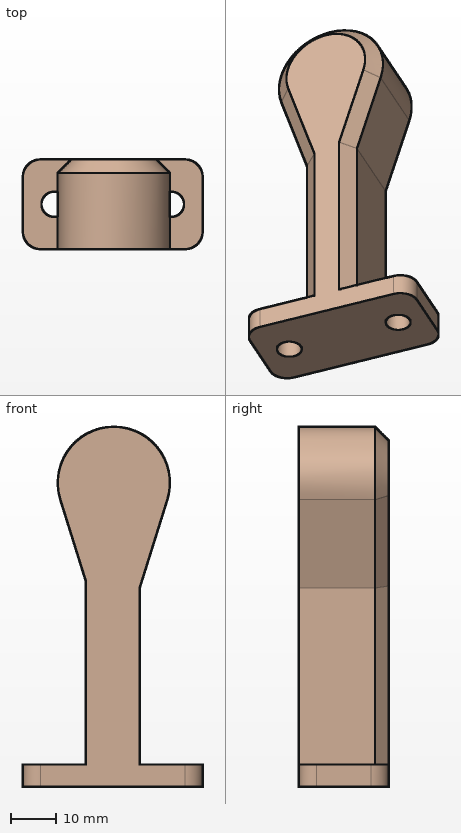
import cadquery as cq
import math

plate_length = 40.0
plate_thickness = 5.0
depth = 20.0
corner_radius = 4.0
hole_diameter = 5.5
hole_spacing = 26.1

total_height = 80.0
stem_width = 12.0
head_radius = 12.5
head_offset = 0.2
left_flank_base = 45.7
right_flank_base = 44.2
back_chamfer = 3.0

head_height = total_height - head_radius


def tangent_point(side, flank_base):
    """Point where a flank rising from the stem edge touches the head circle."""
    dx = side * stem_width / 2 - head_offset
    dz = flank_base - head_height
    distance = math.hypot(dx, dz)
    angle = math.atan2(dz, dx) + side * math.acos(head_radius / distance)
    return (
        head_offset + head_radius * math.cos(angle),
        head_height + head_radius * math.sin(angle),
    )


def make_plate():
    plate = (
        cq.Workplane("XY")
        .box(plate_length, depth, plate_thickness, centered=(True, True, False))
        .edges("|Z")
        .fillet(corner_radius)
    )
    return (
        plate.faces(">Z")
        .workplane()
        .rarray(hole_spacing, 0.8, 2, 1)
        .hole(hole_diameter)
    )


def make_lever():
    half_stem = stem_width / 2
    lever = (
        cq.Workplane("XZ", origin=(0, depth / 2, 0))
        .moveTo(-half_stem, 0)
        .lineTo(half_stem, 0)
        .lineTo(half_stem, right_flank_base)
        .lineTo(*tangent_point(1, right_flank_base))
        .threePointArc((head_offset, total_height), tangent_point(-1, left_flank_base))
        .lineTo(-half_stem, left_flank_base)
        .close()
        .extrude(depth)
    )
    return lever.faces(">Y").edges("not <Z").chamfer(back_chamfer)


result = make_plate().union(make_lever())